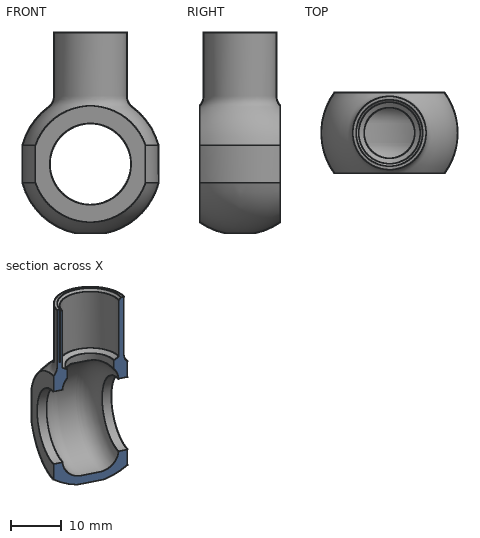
import cadquery as cq
import math

ball_radius = 14.0
eye_diameter = 27.0
eye_width = 16.0
eye_bottom_z = -13.7
eye_bore_diameter = 16.0

groove_floor_diameter = 23.5
groove_floor_width = 4.0
groove_side_radius = 4.0

neck_diameter = 14.5
neck_top_z = 26.0
neck_root_radius = 2.5

neck_bore_diameter = 12.15
passage_diameter = 10.0
mouth_chamfer = 0.5
step_top_z = 13.0
step_slope_deg = 30.0


def make_outer_body():
    """Ball, cylindrical waist, concave root and neck revolved about Z, then faced at both Y ends."""
    eye_radius = eye_diameter / 2
    neck_radius = neck_diameter / 2
    bottom_radius = math.sqrt(ball_radius**2 - eye_bottom_z**2)
    waist_z = math.sqrt(ball_radius**2 - eye_radius**2)

    root_centre_r = neck_radius + neck_root_radius
    root_centre_distance = ball_radius + neck_root_radius
    root_centre_z = math.sqrt(root_centre_distance**2 - root_centre_r**2)
    root_angle = math.atan2(root_centre_z, root_centre_r)
    root_mid_angle = math.pi + root_angle / 2
    root_mid = (
        root_centre_r + neck_root_radius * math.cos(root_mid_angle),
        root_centre_z + neck_root_radius * math.sin(root_mid_angle),
    )

    def ball_point(angle):
        return ball_radius * math.cos(angle), ball_radius * math.sin(angle)

    waist_angle = math.atan2(waist_z, eye_radius)
    bottom_angle = math.atan2(eye_bottom_z, bottom_radius)

    profile = (
        cq.Workplane("XZ")
        .moveTo(0, eye_bottom_z)
        .lineTo(bottom_radius, eye_bottom_z)
        .threePointArc(ball_point((bottom_angle - waist_angle) / 2), (eye_radius, -waist_z))
        .lineTo(eye_radius, waist_z)
        .threePointArc(ball_point((waist_angle + root_angle) / 2), ball_point(root_angle))
        .threePointArc(root_mid, (neck_radius, root_centre_z))
        .lineTo(neck_radius, neck_top_z)
        .lineTo(0, neck_top_z)
        .close()
    )
    body = profile.revolve(360, (0, 0, 0), (0, 1, 0))

    height = neck_top_z - eye_bottom_z
    width_limits = cq.Workplane("XY").box(eye_diameter, eye_width, height)
    return body.intersect(width_limits.translate((0, 0, (neck_top_z + eye_bottom_z) / 2)))


def make_eye_cavity():
    """Through bore along Y joined to the wider groove at mid width."""
    bore_radius = eye_bore_diameter / 2
    half_width = eye_width / 2
    floor_radius = groove_floor_diameter / 2
    half_floor = groove_floor_width / 2

    side_centre_r = floor_radius - groove_side_radius
    side_angle = math.acos((bore_radius - side_centre_r) / groove_side_radius)
    half_groove = half_floor + groove_side_radius * math.sin(side_angle)
    side_mid_radius = side_centre_r + groove_side_radius * math.cos(side_angle / 2)
    side_mid_y = half_floor + groove_side_radius * math.sin(side_angle / 2)

    profile = (
        cq.Workplane("XY")
        .moveTo(0, -half_width)
        .lineTo(bore_radius, -half_width)
        .lineTo(bore_radius, -half_groove)
        .threePointArc((side_mid_radius, -side_mid_y), (floor_radius, -half_floor))
        .lineTo(floor_radius, half_floor)
        .threePointArc((side_mid_radius, side_mid_y), (bore_radius, half_groove))
        .lineTo(bore_radius, half_width)
        .lineTo(0, half_width)
        .close()
    )
    return profile.revolve(360, (0, 0, 0), (0, 1, 0))


def make_neck_cavity():
    """Chamfered neck bore narrowing through a cone to the passage into the eye."""
    bore_radius = neck_bore_diameter / 2
    passage_radius = passage_diameter / 2
    mouth_radius = bore_radius + mouth_chamfer
    step_drop = (bore_radius - passage_radius) * math.tan(math.radians(step_slope_deg))

    profile = (
        cq.Workplane("XZ")
        .lineTo(passage_radius, 0)
        .lineTo(passage_radius, step_top_z - step_drop)
        .lineTo(bore_radius, step_top_z)
        .lineTo(bore_radius, neck_top_z - mouth_chamfer)
        .lineTo(mouth_radius, neck_top_z)
        .lineTo(0, neck_top_z)
        .close()
    )
    return profile.revolve(360, (0, 0, 0), (0, 1, 0))


result = make_outer_body().cut(make_eye_cavity()).cut(make_neck_cavity())